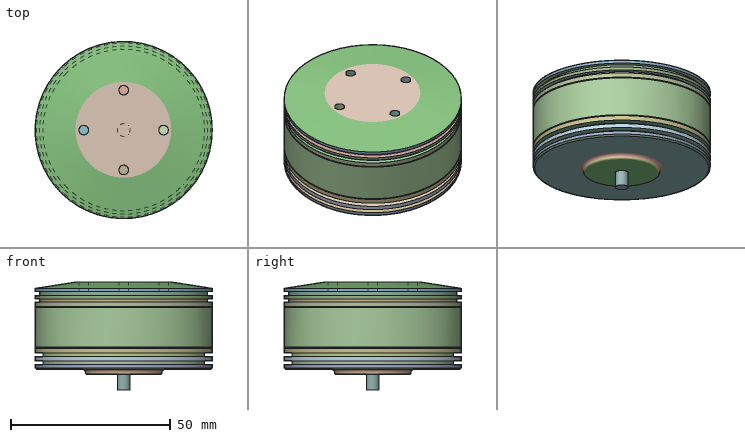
import cadquery as cq

outer_diameter = 55.6
overall_height = 33.9
body_gap = 0.3

shaft_diameter = 4.0
shaft_length = 4.9
boss_diameter = 24.0
boss_edge_radius = 0.6
boss_root_radius = 1.0
boss_height = boss_edge_radius + boss_root_radius
base_edge_chamfer = 0.5
base_groove_diameter = 50.68
base_fin_heights = [1.5, 1.3, 1.5]
base_groove_heights = [1.2, 1.2]

drum_height = 12.4

cap_groove_diameter = 52.7
cap_fin_heights = [1.4, 1.0, 1.0]
cap_groove_heights = [1.0, 1.3]
cap_flat_diameter = 30.0
mount_hole_diameter = 3.0
mount_hole_circle_diameter = 25.0
mount_hole_count = 4
mount_hole_depth = 3.0

base_bottom = shaft_length + boss_height
base_height = sum(base_fin_heights) + sum(base_groove_heights)
drum_bottom = base_bottom + base_height + body_gap
cap_bottom = drum_bottom + drum_height + body_gap
cap_height = sum(cap_fin_heights) + sum(cap_groove_heights)
cone_bottom = cap_bottom + cap_height


def disc(diameter, bottom, height):
    return cq.Workplane("XY", origin=(0, 0, bottom)).circle(diameter / 2).extrude(height)


def finned_disc(bottom, fin_heights, groove_heights, groove_diameter):
    """Disc of the outer diameter with square grooves between its fins."""
    body = disc(outer_diameter, bottom, sum(fin_heights) + sum(groove_heights))
    level = bottom
    for fin_height, groove_height in zip(fin_heights, groove_heights):
        level += fin_height
        ring = disc(outer_diameter, level, groove_height).cut(
            disc(groove_diameter, level, groove_height)
        )
        body = body.cut(ring)
        level += groove_height
    return body


def make_base():
    """Finned base with a round boss and the shaft stub below it."""
    plate = finned_disc(base_bottom, base_fin_heights, base_groove_heights, base_groove_diameter)
    plate = plate.faces("<Z").edges().chamfer(base_edge_chamfer)
    boss_radius = boss_diameter / 2
    boss = (
        cq.Workplane("XZ")
        .moveTo(0, shaft_length)
        .lineTo(boss_radius - boss_edge_radius, shaft_length)
        .radiusArc((boss_radius, shaft_length + boss_edge_radius), -boss_edge_radius)
        .radiusArc((boss_radius + boss_root_radius, base_bottom), boss_root_radius)
        .lineTo(0, base_bottom)
        .close()
        .revolve(360, (0, 0, 0), (0, 1, 0))
    )
    shaft = disc(shaft_diameter, 0, shaft_length)
    return plate.union(boss).union(shaft)


def make_drum():
    """Plain cylindrical drum between the base and the cap."""
    return disc(outer_diameter, drum_bottom, drum_height)


def make_cap():
    """Finned cap with a conical top, a flat centre and blind mounting holes."""
    body = finned_disc(cap_bottom, cap_fin_heights, cap_groove_heights, cap_groove_diameter)
    cone = (
        cq.Workplane("XY", origin=(0, 0, cone_bottom))
        .circle(outer_diameter / 2)
        .workplane(offset=overall_height - cone_bottom)
        .circle(cap_flat_diameter / 2)
        .loft(ruled=True)
    )
    holes = (
        cq.Workplane("XY", origin=(0, 0, overall_height))
        .polarArray(mount_hole_circle_diameter / 2, 0, 360, mount_hole_count)
        .circle(mount_hole_diameter / 2)
        .extrude(-mount_hole_depth)
    )
    return body.union(cone).cut(holes)


base = make_base()
drum = make_drum()
cap = make_cap()

result = cq.Compound.makeCompound([base.val(), drum.val(), cap.val()])